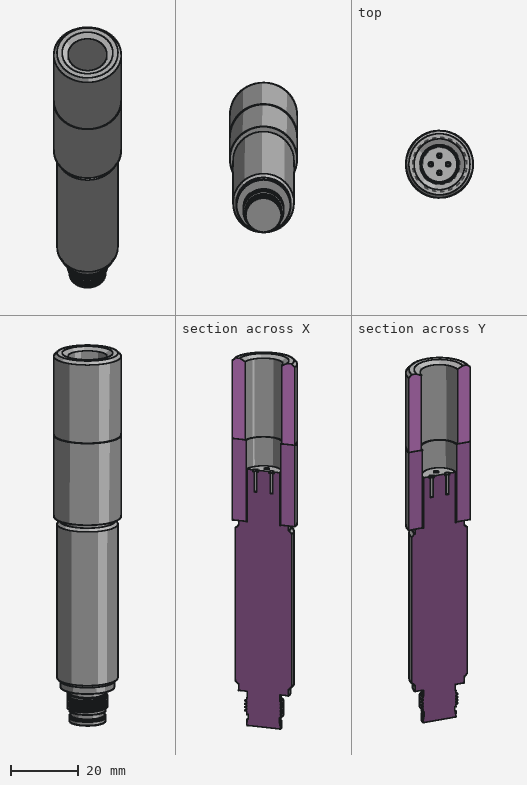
import cadquery as cq

total_length = 112.8
sleeve_length = 25.0
sleeve_joint_z = total_length - sleeve_length
sleeve_bottom_z = sleeve_joint_z - sleeve_length

sleeve_diameter = 20.0
sleeve_top_chamfer = 0.96
sleeve_bottom_chamfer = 0.1
joint_chamfer = 0.17
upper_bore_diameter = 11.5
lower_bore_diameter = 10.9
bore_mouth_diameter = 15.0
bore_mouth_depth = 0.9

barrel_diameter = 18.0
neck_diameter = 16.0
barrel_chamfer = 0.9
barrel_top_z = 61.4
barrel_bottom_z = 12.5
flange_bottom_z = 10.5
flange_edge_chamfer = 0.1

plug_neck_diameter = 10.4
plug_groove_diameter = 10.0
plug_rim_height = 2.0
plug_rim_diameter = 10.8
plug_rim_chamfer = 0.2
rim_groove_diameter = 10.4
rim_groove_width = 0.3
rim_groove_top_z = 1.6

thread_diameter = 12.0
thread_root_diameter = 10.8
thread_pitch = 1.0
thread_core_bottom_z = 3.4
thread_core_top_z = 8.7
thread_core_chamfer = 0.2
thread_start_z = 3.8
thread_start_angle = 180
thread_turns = 4.5
thread_sink = 0.1
thread_crest_width = 0.1
thread_root_width = 0.8

socket_diameter = 10.4
socket_top_z = 79.0
socket_hole_diameter = 0.75
socket_mouth_diameter = 1.5
socket_mouth_depth = 0.6
socket_hole_circle = 5.1
socket_hole_depth = 6.8
socket_hole_count = 4


def cylinder(diameter, bottom_z, top_z):
    """Upright cylinder on the Z axis between two heights."""
    return cq.Workplane("XY").workplane(offset=bottom_z).circle(diameter / 2).extrude(top_z - bottom_z)


def make_upper_sleeve():
    """Upper tube with a bevelled top rim and a conical bore mouth."""
    sleeve = cylinder(sleeve_diameter, sleeve_joint_z, total_length)
    sleeve = sleeve.faces(">Z").chamfer(sleeve_top_chamfer)
    sleeve = sleeve.faces("<Z").chamfer(joint_chamfer)
    bore = cylinder(upper_bore_diameter, sleeve_joint_z, total_length)
    mouth = (
        cq.Workplane("XY")
        .workplane(offset=total_length)
        .circle(bore_mouth_diameter / 2)
        .workplane(offset=-bore_mouth_depth)
        .circle(upper_bore_diameter / 2)
        .loft()
    )
    return sleeve.cut(bore).cut(mouth)


def make_lower_sleeve():
    """Lower tube with a slightly narrower straight bore."""
    sleeve = cylinder(sleeve_diameter, sleeve_bottom_z, sleeve_joint_z)
    sleeve = sleeve.faces("<Z").chamfer(sleeve_bottom_chamfer)
    return sleeve.cut(cylinder(lower_bore_diameter, sleeve_bottom_z, sleeve_joint_z))


def make_thread():
    """Helical ridge, sunk slightly into the thread core."""
    root_radius = thread_root_diameter / 2 - thread_sink
    crest_radius = thread_diameter / 2
    half_root = thread_root_width / 2
    half_crest = thread_crest_width / 2
    height = thread_turns * thread_pitch
    start = cq.Vector(0, 0, thread_start_z)
    path = cq.Wire.makeHelix(thread_pitch, height, root_radius, center=start)
    return (
        cq.Workplane("XZ")
        .polyline([
            (root_radius, thread_start_z - half_root),
            (crest_radius, thread_start_z - half_crest),
            (crest_radius, thread_start_z + half_crest),
            (root_radius, thread_start_z + half_root),
        ])
        .close()
        .sweep(cq.Workplane(path), isFrenet=True)
        .rotate((0, 0, 0), (0, 0, 1), thread_start_angle)
    )


def socket_bores(diameter, depth):
    """One set of round holes sunk into the socket face, evenly spaced on a circle."""
    return (
        cq.Workplane("XY")
        .workplane(offset=socket_top_z)
        .polarArray(socket_hole_circle / 2, 0, 360, socket_hole_count)
        .circle(diameter / 2)
        .extrude(-depth)
    )


def make_barrel():
    """Long cylinder with bevelled ends, a neck above it and a flange below it."""
    barrel = cylinder(barrel_diameter, barrel_bottom_z, barrel_top_z)
    barrel = barrel.faces("<Z or >Z").chamfer(barrel_chamfer)
    neck = cylinder(neck_diameter, barrel_top_z, sleeve_bottom_z)
    flange = cylinder(neck_diameter, flange_bottom_z, barrel_bottom_z)
    flange = flange.faces("<Z").chamfer(flange_edge_chamfer)
    return barrel.union(neck).union(flange)


def make_rim():
    """Collar at the tip of the plug, with a fine groove around it."""
    rim = cylinder(plug_rim_diameter, 0, plug_rim_height)
    rim = rim.faces("<Z or >Z").chamfer(plug_rim_chamfer)
    groove = cylinder(plug_rim_diameter, rim_groove_top_z - rim_groove_width, rim_groove_top_z)
    groove = groove.cut(cylinder(rim_groove_diameter, 0, plug_rim_height))
    return rim.cut(groove)


def make_plug():
    """Threaded plug: rim, groove, thread and neck, from the tip upward."""
    groove = cylinder(plug_groove_diameter, plug_rim_height, thread_core_bottom_z)
    core = cylinder(thread_root_diameter, thread_core_bottom_z, thread_core_top_z)
    core = core.faces(">Z").chamfer(thread_core_chamfer)
    neck = cylinder(plug_neck_diameter, thread_core_top_z, flange_bottom_z)
    return make_rim().union(groove).union(core).union(neck).union(make_thread())


def make_socket():
    """Stem standing inside the sleeves, with stepped contact holes in its top face."""
    stem = cylinder(socket_diameter, sleeve_bottom_z, socket_top_z)
    holes = socket_bores(socket_hole_diameter, socket_hole_depth)
    mouths = socket_bores(socket_mouth_diameter, socket_mouth_depth)
    return stem.cut(holes).cut(mouths)


def make_body():
    """Main body in one piece: plug, barrel and socket stem."""
    return make_barrel().union(make_plug()).union(make_socket())


upper_sleeve = make_upper_sleeve()
lower_sleeve = make_lower_sleeve()
body = make_body()

result = cq.Compound.makeCompound([upper_sleeve.val(), lower_sleeve.val(), body.val()])